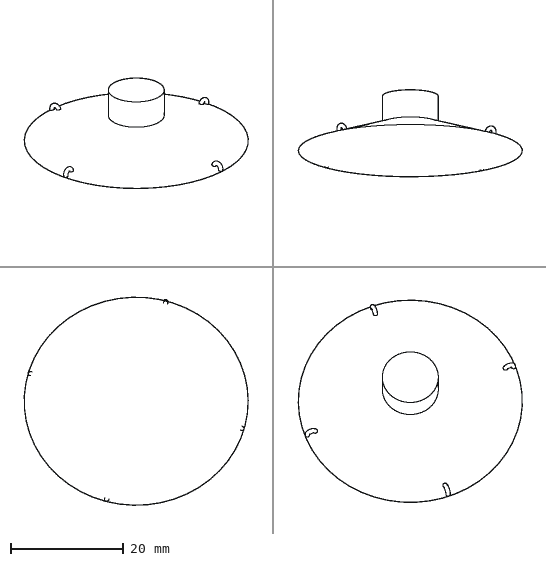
import cadquery as cq

base_radius = 20.0
stub_radius = 5.0
cone_height = 5.0
stub_height = 5.0

eyelet_count = 4
wire_radius = 0.4
ring_radius = 0.8
eyelet_center_radius = base_radius - ring_radius - wire_radius
cone_slope = cone_height / (base_radius - stub_radius)
eyelet_center_height = (base_radius - eyelet_center_radius) * cone_slope


def make_body():
    """Revolve the half profile of the cone and its stub about Z."""
    total_height = cone_height + stub_height
    return (
        cq.Workplane("XZ")
        .lineTo(base_radius, 0)
        .lineTo(stub_radius, cone_height)
        .lineTo(stub_radius, total_height)
        .lineTo(0, total_height)
        .close()
        .revolve(360, (0, 0, 0), (0, 1, 0))
    )


def make_eyelet(angle):
    """Upright wire ring in the radial plane at the given angle, trimmed flat at Z = 0."""
    ring = cq.Workplane(
        cq.Solid.makeTorus(
            ring_radius,
            wire_radius,
            cq.Vector(eyelet_center_radius, 0, eyelet_center_height),
            cq.Vector(0, 1, 0),
        )
    )
    ring_diameter = 2 * (ring_radius + wire_radius)
    trim_block = (
        cq.Workplane("XY")
        .center(eyelet_center_radius, 0)
        .rect(2 * ring_diameter, 2 * ring_diameter)
        .extrude(-ring_diameter)
    )
    return ring.cut(trim_block).rotate((0, 0, 0), (0, 0, 1), angle)


body = make_body()
for index in range(eyelet_count):
    body = body.union(make_eyelet(index * 360 / eyelet_count))

result = body.solids()